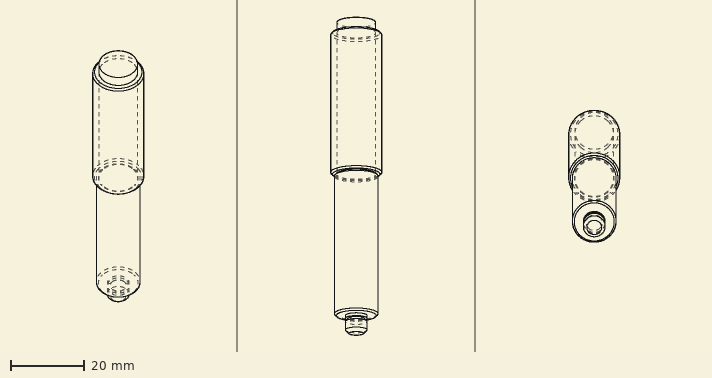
import cadquery as cq

total_height = 88.0
nipple_height = 5.0
pin_protrusion = 3.0
barrel_length = (total_height - nipple_height - pin_protrusion) / 2

upper_diameter = 14.0
lower_diameter = 12.0
pin_diameter = 10.6
barrel_chamfer = 0.5

nipple_diameter = 6.0
nipple_neck_diameter = 4.4
nipple_tip_diameter = 4.05
nipple_tip_height = 1.0
nipple_head_top = 3.3
nipple_collar_bottom = 4.2

lower_bottom = nipple_height
upper_bottom = lower_bottom + barrel_length


def make_barrel(diameter, bottom):
    """Solid cylinder on the hinge axis, chamfered at both ends."""
    barrel = cq.Workplane("XY").workplane(offset=bottom).circle(diameter / 2).extrude(barrel_length)
    return barrel.faces("<Z or >Z").edges().chamfer(barrel_chamfer)


def make_pin_cylinder():
    """Cylinder from the top of the lower barrel to the top of the hinge."""
    pin_length = total_height - upper_bottom
    return cq.Workplane("XY").workplane(offset=upper_bottom).circle(pin_diameter / 2).extrude(pin_length)


def make_upper_barrel():
    """Barrel with a through bore that turns on the pin."""
    return make_barrel(upper_diameter, upper_bottom).cut(make_pin_cylinder())


def make_lower_barrel():
    """Barrel with its pin standing on the top face."""
    return make_barrel(lower_diameter, lower_bottom).union(make_pin_cylinder())


def make_grease_nipple():
    """Turned nipple with a tapered tip, a head, a conical neck and a collar."""
    outer_radius = nipple_diameter / 2
    neck_radius = nipple_neck_diameter / 2
    profile = (
        cq.Workplane("XZ")
        .moveTo(0, 0)
        .lineTo(nipple_tip_diameter / 2, 0)
        .lineTo(outer_radius, nipple_tip_height)
        .lineTo(outer_radius, nipple_head_top)
        .lineTo(neck_radius, nipple_collar_bottom)
        .lineTo(outer_radius, nipple_collar_bottom)
        .lineTo(outer_radius, nipple_height)
        .lineTo(0, nipple_height)
        .close()
    )
    return profile.revolve(360, (0, 0, 0), (0, 1, 0))


upper_barrel = make_upper_barrel()
lower_barrel = make_lower_barrel()
grease_nipple = make_grease_nipple()

result = cq.Compound.makeCompound([upper_barrel.val(), lower_barrel.val(), grease_nipple.val()])